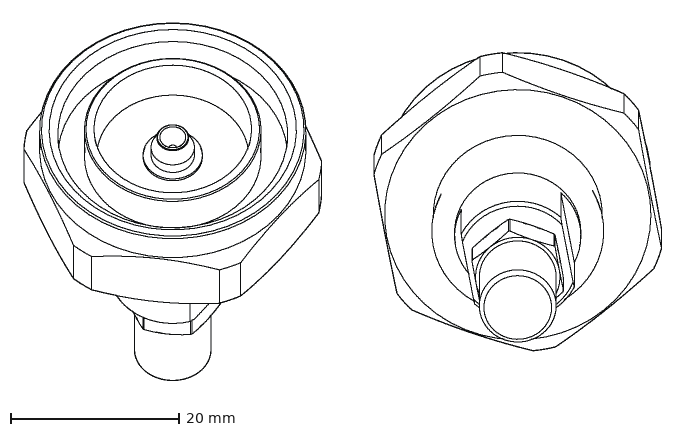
import cadquery as cq
import math

TOTAL_HEIGHT = 45.25

TAIL_RADIUS = 4.55
TAIL_CHAMFER = 0.55

SMALL_HEX_FLATS = 10.05
SMALL_HEX_CORNER_RADIUS = 5.75
SMALL_HEX_BOTTOM = 10.55
SMALL_HEX_TOP = 15.48
NECK_RADIUS = 3.9

BODY_RADIUS = 7.5
BODY_BOTTOM = 15.75
BODY_CHAMFER = 0.45
WRENCH_FLATS = 12.05
WRENCH_FLAT_TOP = 24.7

COLLAR_RADIUS = 10.05
COLLAR_BOTTOM = 26.0
COLLAR_FLARE_RADIUS = 10.23
COLLAR_FLARE_BOTTOM = 26.6
COLLAR_FLARE_TOP = 27.65
COLLAR_EDGE_ROUND = 0.25

NUT_FLATS = 32.0
NUT_CORNER_RADIUS = 17.75
NUT_BOTTOM = 32.1
NUT_TOP = 41.05
HEX_CHAMFER_ANGLE = 30.0
RIM_RADIUS = 15.85
RIM_TOP = 45.1
RIM_CHAMFER = 0.23

CAVITY_RADIUS = 13.65
CAVITY_FLOOR = 39.65
LEAD_IN_RADIUS = 14.7
LEAD_IN_DEPTH = 1.0

SLEEVE_RADIUS = 10.5
SLEEVE_CHAMFER = 0.2
BORE_MOUTH_RADIUS = 9.35
BORE_RADIUS = 9.05
BORE_TAPER_DEPTH = 3.95

INSULATOR_RADIUS = 3.55
INSULATOR_HEIGHT = 0.35

PIN_RADIUS = 2.6
PIN_TIP_RADIUS = 1.9
PIN_TIP_CHAMFER = 0.1
PIN_TOP = 43.58
PIN_TAPER_BOTTOM = 41.55
SOCKET_MOUTH_RADIUS = 1.55
SOCKET_FLOOR_RADIUS = 0.5
SOCKET_DEPTH = 2.25


def cylinder(radius, bottom, top):
    return cq.Workplane("XY").workplane(offset=bottom).circle(radius).extrude(top - bottom)


def revolve_profile(points):
    """Revolve a closed outline of (radius, height) points about the Z axis."""
    return cq.Workplane("XZ").polyline(points).close().revolve(360, (0, 0), (0, 1))


def chamfered_hexagon(flats, corner_radius, face_radius, bottom, top):
    """Hexagon with flats facing +X and -X, its corners turned round and chamfered at both ends."""
    across_corners = flats / math.cos(math.radians(30))
    prism = (
        cq.Workplane("XY")
        .workplane(offset=bottom)
        .polygon(6, across_corners)
        .extrude(top - bottom)
        .rotate((0, 0, 0), (0, 0, 1), 30)
    )
    drop = (corner_radius - face_radius) * math.tan(math.radians(HEX_CHAMFER_ANGLE))
    turned_blank = revolve_profile(
        [
            (0, bottom),
            (face_radius, bottom),
            (corner_radius, bottom + drop),
            (corner_radius, top - drop),
            (face_radius, top),
            (0, top),
        ]
    )
    return prism.intersect(turned_blank)


def tail():
    return cylinder(TAIL_RADIUS, 0, SMALL_HEX_BOTTOM).faces("<Z").chamfer(TAIL_CHAMFER)


def small_nut():
    hexagon = chamfered_hexagon(
        SMALL_HEX_FLATS, SMALL_HEX_CORNER_RADIUS, SMALL_HEX_FLATS / 2, SMALL_HEX_BOTTOM, SMALL_HEX_TOP
    )
    return hexagon.union(cylinder(NECK_RADIUS, SMALL_HEX_TOP, BODY_BOTTOM))


def body():
    barrel = cylinder(BODY_RADIUS, BODY_BOTTOM, COLLAR_BOTTOM).faces("<Z").chamfer(BODY_CHAMFER)
    flat_height = WRENCH_FLAT_TOP - BODY_BOTTOM
    flat_depth = BODY_RADIUS - WRENCH_FLATS / 2
    for side in (-1, 1):
        cutter = cq.Workplane("XY").box(flat_depth, 2 * BODY_RADIUS, flat_height).translate(
            (side * (WRENCH_FLATS + flat_depth) / 2, 0, BODY_BOTTOM + flat_height / 2)
        )
        barrel = barrel.cut(cutter)
    return barrel


def collar():
    return (
        cq.Workplane("XZ")
        .moveTo(0, COLLAR_BOTTOM)
        .lineTo(COLLAR_FLARE_RADIUS - COLLAR_EDGE_ROUND, COLLAR_BOTTOM)
        .radiusArc((COLLAR_FLARE_RADIUS, COLLAR_BOTTOM + COLLAR_EDGE_ROUND), -COLLAR_EDGE_ROUND)
        .lineTo(COLLAR_FLARE_RADIUS, COLLAR_FLARE_BOTTOM)
        .lineTo(COLLAR_RADIUS, COLLAR_FLARE_TOP)
        .lineTo(COLLAR_RADIUS, NUT_BOTTOM)
        .lineTo(0, NUT_BOTTOM)
        .close()
        .revolve(360, (0, 0), (0, 1))
    )


def coupling_nut():
    hexagon = chamfered_hexagon(NUT_FLATS, NUT_CORNER_RADIUS, RIM_RADIUS, NUT_BOTTOM, NUT_TOP)
    rim = cylinder(RIM_RADIUS, NUT_TOP, RIM_TOP).faces(">Z").chamfer(RIM_CHAMFER)
    cavity = revolve_profile(
        [
            (0, CAVITY_FLOOR),
            (CAVITY_RADIUS, CAVITY_FLOOR),
            (CAVITY_RADIUS, RIM_TOP - LEAD_IN_DEPTH),
            (LEAD_IN_RADIUS, RIM_TOP),
            (0, RIM_TOP),
        ]
    )
    return hexagon.union(rim).cut(cavity)


def contact_sleeve():
    return revolve_profile(
        [
            (BORE_RADIUS, CAVITY_FLOOR),
            (SLEEVE_RADIUS, CAVITY_FLOOR),
            (SLEEVE_RADIUS, TOTAL_HEIGHT - SLEEVE_CHAMFER),
            (SLEEVE_RADIUS - SLEEVE_CHAMFER, TOTAL_HEIGHT),
            (BORE_MOUTH_RADIUS, TOTAL_HEIGHT),
            (BORE_RADIUS, TOTAL_HEIGHT - BORE_TAPER_DEPTH),
        ]
    )


def insulator_step():
    return cylinder(INSULATOR_RADIUS, CAVITY_FLOOR, CAVITY_FLOOR + INSULATOR_HEIGHT)


def centre_pin():
    return revolve_profile(
        [
            (0, CAVITY_FLOOR),
            (PIN_RADIUS, CAVITY_FLOOR),
            (PIN_RADIUS, PIN_TAPER_BOTTOM),
            (PIN_TIP_RADIUS, PIN_TOP - PIN_TIP_CHAMFER),
            (PIN_TIP_RADIUS - PIN_TIP_CHAMFER, PIN_TOP),
            (SOCKET_MOUTH_RADIUS, PIN_TOP),
            (SOCKET_FLOOR_RADIUS, PIN_TOP - SOCKET_DEPTH),
            (0, PIN_TOP - SOCKET_DEPTH),
        ]
    )


result = (
    tail()
    .union(small_nut())
    .union(body())
    .union(collar())
    .union(coupling_nut())
    .union(contact_sleeve())
    .union(insulator_step())
    .union(centre_pin())
)